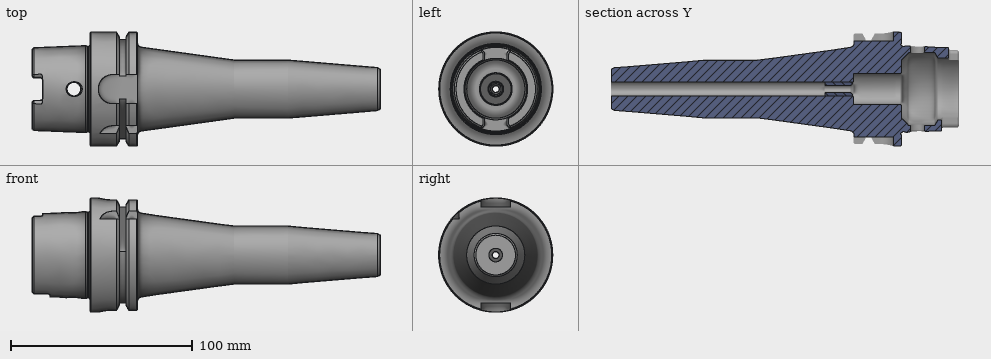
import cadquery as cq
import math


LENGTH = 192.0

SHANK_LENGTH = 31.9
SHANK_MOUTH_RADIUS = 22.8
SHANK_BASE_RADIUS = 48.0 / 2
SHANK_EDGE_CHAMFER = 1.0

RELIEF_START = 29.5
RELIEF_FLOOR_START = 30.5
RELIEF_FLOOR_END = 31.1
RELIEF_FLOOR_RADIUS = 23.6
RELIEF_PIT_RADIUS = 24.5
RELIEF_RIM_RADIUS = 25.2
RELIEF_DEPTH = 0.5

FLANGE_RADIUS = 63.0 / 2
FLANGE_WIDTH = 26.3
FLANGE_END = SHANK_LENGTH + FLANGE_WIDTH
FLANGE_EDGE = 0.5
GROOVE_START = 48.2
GROOVE_WIDTH = 3.5
GROOVE_END = GROOVE_START + GROOVE_WIDTH
GROOVE_RADIUS = 27.5
GROOVE_STEP_RADIUS = 28.6
GROOVE_FLANK_ANGLE = 30.0
GROOVE_FLANK_WIDTH = (FLANGE_RADIUS - GROOVE_STEP_RADIUS) * math.tan(math.radians(GROOVE_FLANK_ANGLE))

NECK_RADIUS = 32.0 / 2
NECK_START = 111.5
NECK_END = 141.1
NECK_BASE_RADIUS = 23.5
NECK_FILLET = 2.3
NOSE_RADIUS = 12.0
NOSE_CHAMFER_LENGTH = 1.7
NOSE_CHAMFER_DEPTH = 1.0

BORE_RADIUS = 34.0 / 2
BORE_LENGTH = 12.0
BORE_MOUTH_CHAMFER = 0.5
CLAMP_RADIUS = 40.0 / 2
CLAMP_BEVEL_ANGLE = 30.0
CLAMP_BEVEL_LENGTH = (CLAMP_RADIUS - BORE_RADIUS) * math.tan(math.radians(CLAMP_BEVEL_ANGLE))
CAVITY_FLOOR = SHANK_LENGTH
CAVITY_FLOOR_RADIUS = 32.0 / 2
CAVITY_FLOOR_BEVEL = CLAMP_RADIUS - CAVITY_FLOOR_RADIUS

TUBE_HOLE_RADIUS = 16.9 / 2
TUBE_HOLE_CHAMFER = 0.5
TUBE_HOLE_END = FLANGE_END
SCREW_RADIUS = 7.5 / 2
SCREW_HOLE_CHAMFER = 0.5

SCREW_LENGTH = 15.4
SCREW_BORE_RADIUS = 3.6 / 2
SCREW_MOUTH_CHAMFER = 1.2

CROSS_HOLE_RADIUS = 7.5 / 2
CROSS_HOLE_X = 23.0
CROSS_HOLE_CHAMFER = 1.0

END_SLOT_HALF_WIDTH = 6.1
END_SLOT_TOP_DEPTH = 5.8
END_SLOT_BOTTOM_DEPTH = 9.8
END_SLOT_FLARE = 2.3
END_SLOT_FLARE_REACH = 23.2
END_SLOT_FLOOR_FILLET = 1.2

KEYWAY_RADIUS = 8.0
KEYWAY_CENTER_X = 44.5
KEYWAY_FLOOR = 26.5
NOTCH_FLOOR = 20.0
NOTCH_WALL = 20.2

FLAT_ANGLE = 48.0
FLAT_DISTANCE = 21.7


def revolve_about_x(profile):
    """Turn a closed outline of (x, radius) about the X axis."""
    return profile.close().revolve(360, (0, 0, 0), (1, 0, 0))


def cylinder_x(start, end, radius):
    return cq.Workplane("YZ").workplane(offset=start).circle(radius).extrude(end - start)


def cone_x(start, end, start_radius, end_radius):
    outline = cq.Workplane("XY").moveTo(start, 0).lineTo(start, start_radius)
    return revolve_about_x(outline.lineTo(end, end_radius).lineTo(end, 0))


def outer_body():
    slope = math.atan((NECK_BASE_RADIUS - NECK_RADIUS) / (NECK_START - FLANGE_END))
    center_x = FLANGE_END + NECK_FILLET
    cone_at_center = NECK_BASE_RADIUS - NECK_FILLET * math.tan(slope)
    center_r = cone_at_center + NECK_FILLET / math.cos(slope)
    arc_end = (center_x - NECK_FILLET * math.sin(slope), center_r - NECK_FILLET * math.cos(slope))
    middle_angle = (math.pi + 1.5 * math.pi - slope) / 2
    arc_middle = (
        center_x + NECK_FILLET * math.cos(middle_angle),
        center_r + NECK_FILLET * math.sin(middle_angle),
    )
    outline = (
        cq.Workplane("XY")
        .lineTo(0, SHANK_MOUTH_RADIUS - SHANK_EDGE_CHAMFER)
        .lineTo(SHANK_EDGE_CHAMFER, SHANK_MOUTH_RADIUS)
        .lineTo(RELIEF_START, SHANK_BASE_RADIUS)
        .lineTo(RELIEF_FLOOR_START, RELIEF_FLOOR_RADIUS)
        .lineTo(RELIEF_FLOOR_END, RELIEF_FLOOR_RADIUS)
        .lineTo(SHANK_LENGTH + RELIEF_DEPTH, RELIEF_PIT_RADIUS)
        .lineTo(SHANK_LENGTH, RELIEF_RIM_RADIUS)
        .lineTo(SHANK_LENGTH, FLANGE_RADIUS - FLANGE_EDGE)
        .lineTo(SHANK_LENGTH + FLANGE_EDGE, FLANGE_RADIUS)
        .lineTo(GROOVE_START - GROOVE_FLANK_WIDTH, FLANGE_RADIUS)
        .lineTo(GROOVE_START, GROOVE_STEP_RADIUS)
        .lineTo(GROOVE_START, GROOVE_RADIUS)
        .lineTo(GROOVE_END, GROOVE_RADIUS)
        .lineTo(GROOVE_END, GROOVE_STEP_RADIUS)
        .lineTo(GROOVE_END + GROOVE_FLANK_WIDTH, FLANGE_RADIUS)
        .lineTo(FLANGE_END - FLANGE_EDGE, FLANGE_RADIUS)
        .lineTo(FLANGE_END, FLANGE_RADIUS - FLANGE_EDGE)
        .lineTo(FLANGE_END, center_r)
        .threePointArc(arc_middle, arc_end)
        .lineTo(NECK_START, NECK_RADIUS)
        .lineTo(NECK_END, NECK_RADIUS)
        .lineTo(LENGTH - NOSE_CHAMFER_LENGTH, NOSE_RADIUS)
        .lineTo(LENGTH, NOSE_RADIUS - NOSE_CHAMFER_DEPTH)
        .lineTo(LENGTH, 0)
    )
    return revolve_about_x(outline)


def cavity():
    outline = (
        cq.Workplane("XY")
        .lineTo(0, BORE_RADIUS + BORE_MOUTH_CHAMFER)
        .lineTo(BORE_MOUTH_CHAMFER, BORE_RADIUS)
        .lineTo(BORE_LENGTH, BORE_RADIUS)
        .lineTo(BORE_LENGTH + CLAMP_BEVEL_LENGTH, CLAMP_RADIUS)
        .lineTo(CAVITY_FLOOR - CAVITY_FLOOR_BEVEL, CLAMP_RADIUS)
        .lineTo(CAVITY_FLOOR, CAVITY_FLOOR_RADIUS)
        .lineTo(CAVITY_FLOOR, TUBE_HOLE_RADIUS + TUBE_HOLE_CHAMFER)
        .lineTo(CAVITY_FLOOR + TUBE_HOLE_CHAMFER, TUBE_HOLE_RADIUS)
        .lineTo(TUBE_HOLE_END, TUBE_HOLE_RADIUS)
        .lineTo(TUBE_HOLE_END, SCREW_RADIUS + SCREW_HOLE_CHAMFER)
        .lineTo(TUBE_HOLE_END + SCREW_HOLE_CHAMFER, SCREW_RADIUS)
        .lineTo(LENGTH, SCREW_RADIUS)
        .lineTo(LENGTH, 0)
    )
    return revolve_about_x(outline)


def cross_hole():
    """Hole along Z, opening out as a cone at each shank surface."""
    cone_start = SHANK_BASE_RADIUS - CROSS_HOLE_CHAMFER
    rim_radius = CROSS_HOLE_RADIUS + CROSS_HOLE_CHAMFER
    half = (
        cq.Workplane("XZ")
        .lineTo(CROSS_HOLE_RADIUS, 0)
        .lineTo(CROSS_HOLE_RADIUS, cone_start)
        .lineTo(rim_radius, SHANK_BASE_RADIUS)
        .lineTo(0, SHANK_BASE_RADIUS)
        .close()
        .revolve(360, (0, 0, 0), (0, 1, 0))
        .translate((CROSS_HOLE_X, 0, 0))
    )
    return half.union(half.mirror("XY"))


def end_slot_outline(x, widening):
    """Closed slot outline at the given x, with every wall moved outward by the widening."""
    half_width = END_SLOT_HALF_WIDTH + widening
    flare = END_SLOT_FLARE - widening
    center_y = END_SLOT_HALF_WIDTH + END_SLOT_FLARE
    center_distance = END_SLOT_FLARE_REACH - END_SLOT_FLARE
    center_z = math.sqrt(center_distance**2 - center_y**2)
    end_angle = math.atan2(center_z, center_y)
    middle_angle = (math.pi + end_angle) / 2
    end_y = center_y + flare * math.cos(end_angle)
    end_z = center_z + flare * math.sin(end_angle)
    middle_y = center_y + flare * math.cos(middle_angle)
    middle_z = center_z + flare * math.sin(middle_angle)
    return (
        cq.Workplane("YZ", origin=(x, 0, 0))
        .moveTo(-half_width, 0)
        .lineTo(half_width, 0)
        .lineTo(half_width, center_z)
        .threePointArc((middle_y, middle_z), (end_y, end_z))
        .lineTo(end_y, FLANGE_RADIUS)
        .lineTo(-end_y, FLANGE_RADIUS)
        .lineTo(-end_y, end_z)
        .threePointArc((-middle_y, middle_z), (-half_width, center_z))
        .close()
    )


def end_slot(depth):
    """Slot on the +Z side of the open end, flaring out to the shank surface."""
    slot = end_slot_outline(0, 0).extrude(depth)
    return slot.faces(">X").edges("not |Y").fillet(END_SLOT_FLOOR_FILLET)


def end_slot_mouth():
    """Chamfer cutter around the mouth of the slot on the +Z side."""
    wide_wire = end_slot_outline(0, SHANK_EDGE_CHAMFER).wire().val()
    narrow_wire = end_slot_outline(SHANK_EDGE_CHAMFER, 0).wire().val()
    return cq.Workplane(cq.Solid.makeLoft([wide_wire, narrow_wire], True))


def round_ended_cutter(center_x, center_y, floor):
    """Slot with a round end toward the shank, cut from above down to the given height."""
    plan = cq.Workplane("XY").workplane(offset=floor).center(center_x, center_y)
    height = FLANGE_RADIUS - floor
    run_out = FLANGE_END - center_x
    straight = plan.rect(2 * run_out, 2 * KEYWAY_RADIUS).extrude(height)
    straight = straight.intersect(cylinder_x(center_x, FLANGE_END, 2 * FLANGE_RADIUS))
    return plan.circle(KEYWAY_RADIUS).extrude(height).union(straight)


def keyway():
    return round_ended_cutter(KEYWAY_CENTER_X, 0, KEYWAY_FLOOR)


def notch():
    return round_ended_cutter(KEYWAY_CENTER_X, -NOTCH_WALL - KEYWAY_RADIUS, NOTCH_FLOOR)


def groove_flat():
    """Cutter that levels the groove bottom on the side of the notch."""
    height = FLANGE_RADIUS - FLAT_DISTANCE
    cutter = cq.Workplane("XY").box(
        GROOVE_WIDTH, 2 * FLANGE_RADIUS, height, centered=(False, True, False)
    )
    cutter = cutter.translate((GROOVE_START, 0, FLAT_DISTANCE))
    return cutter.rotate((0, 0, 0), (1, 0, 0), FLAT_ANGLE)


def build_holder():
    holder = outer_body().cut(cavity()).cut(cross_hole())
    holder = holder.cut(end_slot(END_SLOT_TOP_DEPTH)).cut(end_slot_mouth())
    holder = holder.cut(end_slot(END_SLOT_BOTTOM_DEPTH).mirror("XY")).cut(end_slot_mouth().mirror("XY"))
    holder = holder.cut(keyway()).cut(keyway().mirror("XY"))
    return holder.cut(notch()).cut(groove_flat())


def build_screw():
    start = TUBE_HOLE_END + SCREW_HOLE_CHAMFER
    body = cylinder_x(start, start + SCREW_LENGTH, SCREW_RADIUS)
    body = body.cut(cylinder_x(start, start + SCREW_LENGTH, SCREW_BORE_RADIUS))
    mouth = SCREW_BORE_RADIUS + SCREW_MOUTH_CHAMFER
    return body.cut(cone_x(start, start + SCREW_MOUTH_CHAMFER, mouth, SCREW_BORE_RADIUS))


holder = build_holder()
screw = build_screw()
result = cq.Compound.makeCompound([holder.val(), screw.val()])